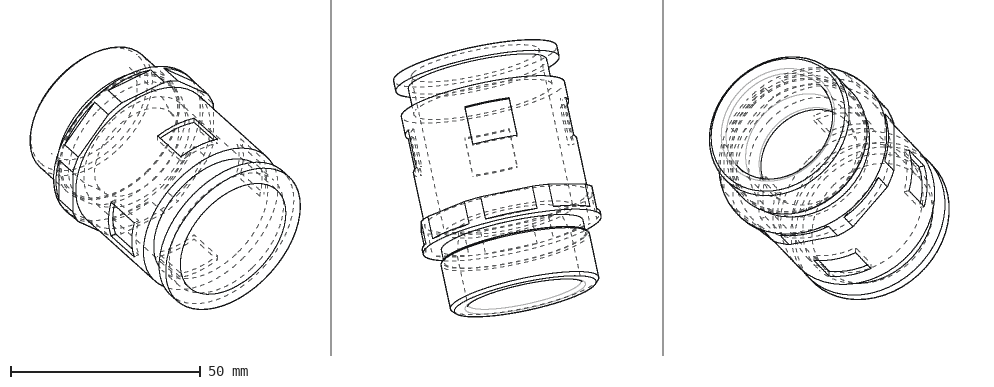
import cadquery as cq

LENGTH = 64.0

THREAD_DIAMETER = 40.0
THREAD_END = 13.45
THREAD_CHAMFER = 0.9
NECK_DIAMETER = 38.15
THREAD_BACK_CHAMFER = 0.5
OVERLAP = 0.65

FLANGE_DIAMETER = 48.0
FLANGE_START = 16.8
FLATS_START = 17.9
FLATS_END = 24.0
FLAT_COUNT = 8
ACROSS_FLATS = 45.95

BODY_DIAMETER = 44.0
BODY_END = 54.1
GROOVE_DIAMETER = 37.3
COLLAR_START = 61.05

WINDOW_COUNT = 4
WINDOW_START = 38.6
WINDOW_END = 48.9
WINDOW_WIDTH = 11.9
WINDOW_FLOOR_DIAMETER = 41.2

FRONT_BORE_DIAMETER = 30.5
MOUTH_ROUNDING = 0.95
TAPER_START = 14.3
TAPER_END = 19.85
THROAT_DIAMETER = 27.5
THROAT_END = 21.1
REAR_BORE_DIAMETER = 34.5


def cylinder(diameter, start, end):
    """Solid cylinder on the X axis between two positions."""
    return cq.Workplane("YZ", origin=(start, 0, 0)).circle(diameter / 2).extrude(end - start)


def threaded_end():
    thread = cylinder(THREAD_DIAMETER, 0, THREAD_END)
    thread = thread.faces("<X").chamfer(THREAD_CHAMFER)
    thread = thread.faces(">X").chamfer(THREAD_BACK_CHAMFER)
    neck = cylinder(NECK_DIAMETER, THREAD_END - OVERLAP, FLANGE_START + OVERLAP)
    return thread.union(neck)


def flange_with_flats():
    flange = cylinder(FLANGE_DIAMETER, FLANGE_START, FLATS_START)
    barrel = cylinder(FLANGE_DIAMETER, FLATS_START, FLATS_END)
    octagon = (
        cq.Workplane("YZ", origin=(FLATS_START, 0, 0))
        .polygon(FLAT_COUNT, ACROSS_FLATS, circumscribed=True)
        .extrude(FLATS_END - FLATS_START)
    )
    return flange.union(barrel.intersect(octagon))


def body_with_collar():
    body = cylinder(BODY_DIAMETER, FLATS_END - OVERLAP, BODY_END)
    groove = cylinder(GROOVE_DIAMETER, BODY_END - OVERLAP, COLLAR_START + OVERLAP)
    collar = cylinder(BODY_DIAMETER, COLLAR_START, LENGTH)
    return body.union(groove).union(collar)


def windows():
    """Curved-floor pockets at equal angles around the body."""
    length = WINDOW_END - WINDOW_START
    middle = (WINDOW_START + WINDOW_END) / 2
    blocks = cq.Workplane("XY")
    for index in range(WINDOW_COUNT):
        block = cq.Workplane("XY").box(length, WINDOW_WIDTH, BODY_DIAMETER, centered=(True, True, False))
        block = block.rotate((0, 0, 0), (1, 0, 0), index * 360 / WINDOW_COUNT)
        blocks = blocks.union(block.translate((middle, 0, 0)))
    return blocks.cut(cylinder(WINDOW_FLOOR_DIAMETER, WINDOW_START, WINDOW_END))


def bore():
    front = FRONT_BORE_DIAMETER / 2
    mouth = front + MOUTH_ROUNDING
    throat = THROAT_DIAMETER / 2
    rear = REAR_BORE_DIAMETER / 2
    profile = (
        cq.Workplane("XY")
        .lineTo(0, mouth)
        .radiusArc((MOUTH_ROUNDING, front), -MOUTH_ROUNDING)
        .lineTo(TAPER_START, front)
        .lineTo(TAPER_END, throat)
        .lineTo(THROAT_END, throat)
        .lineTo(THROAT_END, rear)
        .lineTo(LENGTH, rear)
        .lineTo(LENGTH, 0)
        .close()
    )
    return profile.revolve(360, (0, 0, 0), (1, 0, 0))


outside = threaded_end().union(flange_with_flats()).union(body_with_collar())
result = outside.cut(windows()).cut(bore())